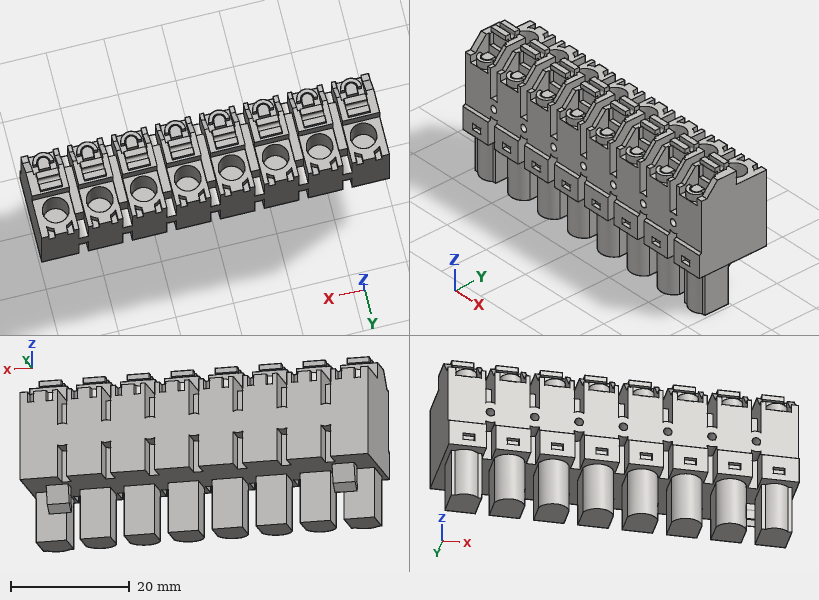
import cadquery as cq

POLE_COUNT = 8
LENGTH = 60.3
POLE_SPAN = 53.35
PITCH = POLE_SPAN / (POLE_COUNT - 1)
FIRST_POLE_X = (LENGTH - POLE_SPAN) / 2
POLE_X = [FIRST_POLE_X + i * PITCH for i in range(POLE_COUNT)]
GAP_X = [x + PITCH / 2 for x in POLE_X[:-1]]

DEPTH = 15.1
BOTTOM_Z = 8.75
SHOULDER_Z = 24.1
TOWER_TOP_Z = 26.8
FACE_Y = 0.55
SKIRT_FACE_TOP_Z = 13.4
SKIRT_TOP_Z = 13.7
TOWER_BACK_Y = 8.3
SLOPE_TOP_Y = 4.1
SLOPE_FOOT_Y = 1.7

GAP_WIDTH = 1.6
WEB_FRONT_Y = 3.6
WEB_BACK_Y = 11.95
WEB_TOP_Z = 22.5
LUG_RADIUS = 2.0
LUG_Z = 16.15
LUG_HOLE_RADIUS = 0.7

POCKET_WIDTH = 4.4
POCKET_OFFSET = 0.05
POCKET_BACK_Y = 4.7
POCKET_FLOOR_Z = 22.65
TERMINAL_Y = 2.4
RIM_RADIUS = 1.8
RIM_BORE_RADIUS = 1.15
TONGUE_RADIUS = 0.95
TONGUE_BACK_Y = 3.45

WIRE_Y = 10.9
WIRE_RADIUS = 2.25
WIRE_DEPTH = 7.25
GROOVE_OFFSET = 1.6
GROOVE_WIDTH = 1.1
GROOVE_DEPTH = 1.8
GROOVE_END_RADIUS = 3.25

WINDOW_WIDTH = 2.05
WINDOW_HEIGHT = 1.2
WINDOW_Z = 10.55
WINDOW_DEPTH = 0.8

PIN_WIDTH = 5.25
PIN_NOSE_RADIUS = 2.85
PIN_FRONT_Y = 1.2
PIN_BACK_Y = 7.25
END_PIN_SHOULDER_Y = 2.0

ACTUATOR_WIDTH = 3.8
STEM_FRONT_Y = 5.5
STEM_BACK_Y = 7.4
STEM_BASE_Z = 24.5
HEAD_OVERHANG = 0.6
HEAD_BASE_Z = 27.2
HEAD_TOP_Z = 28.1
DRIVER_SLOT_WIDTH = 0.95
DRIVER_SLOT_FLOOR_Z = 26.95


def block(x, width, y0, y1, z0, z1):
    """Box centred on x, spanning y0..y1 and z0..z1."""
    return cq.Workplane("XY").box(width, y1 - y0, z1 - z0, centered=(True, False, False)).translate((x, y0, z0))


def upright_cylinder(x, y, radius, z0, z1):
    return cq.Workplane("XY", origin=(x, y, z0)).circle(radius).extrude(z1 - z0)


def cross_cylinder(x, z, radius, y0, y1):
    """Cylinder along Y."""
    return cq.Workplane("XZ", origin=(x, y0, z)).circle(radius).extrude(y0 - y1)


def housing_blank():
    outline = [
        (0, BOTTOM_Z),
        (DEPTH, BOTTOM_Z),
        (DEPTH, SHOULDER_Z),
        (TOWER_BACK_Y, SHOULDER_Z),
        (TOWER_BACK_Y, TOWER_TOP_Z),
        (SLOPE_TOP_Y, TOWER_TOP_Z),
        (SLOPE_FOOT_Y, SHOULDER_Z),
        (FACE_Y, SHOULDER_Z),
        (FACE_Y, SKIRT_TOP_Z),
        (0, SKIRT_FACE_TOP_Z),
    ]
    return cq.Workplane("YZ").polyline(outline).close().extrude(LENGTH)


def pole_gap(x):
    """Material removed between two poles, leaving the web and its lugs."""
    above = block(x, GAP_WIDTH, 0, DEPTH, WEB_TOP_Z, TOWER_TOP_Z)
    front = block(x, GAP_WIDTH, 0, WEB_FRONT_Y, BOTTOM_Z, WEB_TOP_Z)
    back = block(x, GAP_WIDTH, WEB_BACK_Y, DEPTH, BOTTOM_Z, WEB_TOP_Z)
    lugs = cross_cylinder(x, LUG_Z, LUG_RADIUS, 0, DEPTH)
    hole = cross_cylinder(x, LUG_Z, LUG_HOLE_RADIUS, 0, WEB_FRONT_Y)
    return front.union(back).cut(lugs).union(above).union(hole)


def terminal(x):
    """Half-ring rim, open to the back, around a round-nosed tongue."""
    rim = upright_cylinder(x, TERMINAL_Y, RIM_RADIUS, POCKET_FLOOR_Z, SHOULDER_Z)
    bore = upright_cylinder(x, TERMINAL_Y, RIM_BORE_RADIUS, POCKET_FLOOR_Z, SHOULDER_Z)
    back_half = block(x, POCKET_WIDTH, TERMINAL_Y, POCKET_BACK_Y, POCKET_FLOOR_Z, SHOULDER_Z)
    nose = upright_cylinder(x, TERMINAL_Y, TONGUE_RADIUS, POCKET_FLOOR_Z, SHOULDER_Z)
    tail = block(x, 2 * TONGUE_RADIUS, TERMINAL_Y, TONGUE_BACK_Y, POCKET_FLOOR_Z, SHOULDER_Z)
    return rim.cut(bore).cut(back_half).union(nose).union(tail)


def pocket(x):
    """Open-fronted pocket and the narrower recess that holds the actuator stem."""
    front = block(x + POCKET_OFFSET, POCKET_WIDTH, 0, POCKET_BACK_Y, POCKET_FLOOR_Z, TOWER_TOP_Z)
    stem_recess = block(x, ACTUATOR_WIDTH, POCKET_BACK_Y, STEM_BACK_Y, STEM_BASE_Z, TOWER_TOP_Z)
    return front.union(stem_recess).cut(terminal(x))


def wire_entry(x):
    floor_z = SHOULDER_Z - GROOVE_DEPTH
    left = block(x - GROOVE_OFFSET, GROOVE_WIDTH, WIRE_Y, DEPTH, floor_z, SHOULDER_Z)
    right = block(x + GROOVE_OFFSET, GROOVE_WIDTH, WIRE_Y, DEPTH, floor_z, SHOULDER_Z)
    collar = upright_cylinder(x, WIRE_Y, GROOVE_END_RADIUS, floor_z, SHOULDER_Z)
    hole = upright_cylinder(x, WIRE_Y, WIRE_RADIUS, SHOULDER_Z - WIRE_DEPTH, SHOULDER_Z)
    return left.union(right).cut(collar).union(hole)


def window(x):
    half = WINDOW_HEIGHT / 2
    return block(x, WINDOW_WIDTH, 0, WINDOW_DEPTH, WINDOW_Z - half, WINDOW_Z + half)


def plug_pin(x, is_end):
    """Flat-sided pin with a round nose; the end pins also have square shoulders beside the nose."""
    centre_y = PIN_FRONT_Y + PIN_NOSE_RADIUS
    square_from_y = END_PIN_SHOULDER_Y if is_end else centre_y
    square = block(x, PIN_WIDTH, square_from_y, PIN_BACK_Y, 0, BOTTOM_Z)
    envelope = block(x, PIN_WIDTH, PIN_FRONT_Y, centre_y, 0, BOTTOM_Z)
    nose = upright_cylinder(x, centre_y, PIN_NOSE_RADIUS, 0, BOTTOM_Z).intersect(envelope)
    return square.union(nose)


def latch_hook(x0, x1):
    """Bent latch hanging under the housing between x0 and x1."""
    outline = [
        (10.8, BOTTOM_Z),
        (10.0, 5.6),
        (8.7, 4.35),
        (8.25, 5.4),
        (8.85, 5.95),
        (8.85, 7.65),
        (8.6, BOTTOM_Z),
    ]
    return cq.Workplane("YZ", origin=(x0, 0, 0)).polyline(outline).close().extrude(x1 - x0)


def make_housing():
    body = housing_blank()
    for x in GAP_X:
        body = body.cut(pole_gap(x))
    for x in POLE_X:
        body = body.cut(pocket(x)).cut(wire_entry(x)).cut(window(x))
    for x in POLE_X:
        body = body.union(plug_pin(x, x in (POLE_X[0], POLE_X[-1])))
    body = body.union(latch_hook(POLE_X[0], GAP_X[0]))
    return body.union(latch_hook(GAP_X[-1], POLE_X[-1]))


def make_actuator(x):
    """T-shaped push actuator with a round-bottomed screwdriver slot across its head."""
    stem = block(x, ACTUATOR_WIDTH, STEM_FRONT_Y, STEM_BACK_Y, STEM_BASE_Z, HEAD_BASE_Z)
    head_front_y = STEM_FRONT_Y - HEAD_OVERHANG
    head_back_y = STEM_BACK_Y + HEAD_OVERHANG
    head = block(x, ACTUATOR_WIDTH, head_front_y, head_back_y, HEAD_BASE_Z, HEAD_TOP_Z)
    radius = DRIVER_SLOT_WIDTH / 2
    middle_y = (STEM_FRONT_Y + STEM_BACK_Y) / 2
    round_z = DRIVER_SLOT_FLOOR_Z + radius
    slot = block(x, ACTUATOR_WIDTH, middle_y - radius, middle_y + radius, round_z, HEAD_TOP_Z)
    slot_floor = (
        cq.Workplane("YZ", origin=(x - ACTUATOR_WIDTH / 2, middle_y, round_z))
        .circle(radius)
        .extrude(ACTUATOR_WIDTH)
    )
    return stem.union(head).cut(slot).cut(slot_floor)


housing = make_housing()
actuators = [make_actuator(x) for x in POLE_X]

result = cq.Compound.makeCompound([housing.val(), *[actuator.val() for actuator in actuators]])